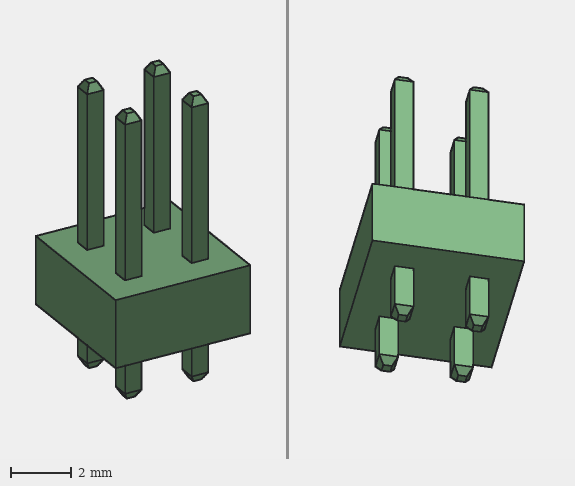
import cadquery as cq

total_height = 10.65

housing_length = 5.38
housing_width = 5.15
housing_height = 2.55

pitch = 2.55
contact_width = 0.64
tip_width = 0.3
tip_height = 0.3
tail_length = 1.99
post_length = total_height - housing_height - tail_length


def make_housing():
    """Plain rectangular insulator block."""
    return cq.Workplane("XY").box(
        housing_length, housing_width, housing_height, centered=(True, True, False)
    )


def make_contact(length):
    """Square contact rising from Z = 0, with a tapered tip at its free end."""
    shank_length = length - tip_height
    shank = cq.Workplane("XY").rect(contact_width, contact_width).extrude(shank_length)
    tip = (
        cq.Workplane("XY", origin=(0, 0, shank_length))
        .rect(contact_width, contact_width)
        .workplane(offset=tip_height)
        .rect(tip_width, tip_width)
        .loft(ruled=True)
    )
    return shank.union(tip)


def make_post(x, y):
    """Long contact standing on the top face of the housing."""
    return make_contact(post_length).translate((x, y, housing_height))


def make_tail(x, y):
    """Short contact hanging from the underside of the housing."""
    return make_contact(tail_length).rotate((0, 0, 0), (1, 0, 0), 180).translate((x, y, 0))


housing = make_housing()
posts = []
tails = []
for x in (-pitch / 2, pitch / 2):
    for y in (-pitch / 2, pitch / 2):
        posts.append(make_post(x, y).val())
        tails.append(make_tail(x, y).val())

result = cq.Compound.makeCompound([housing.val(), *posts, *tails])